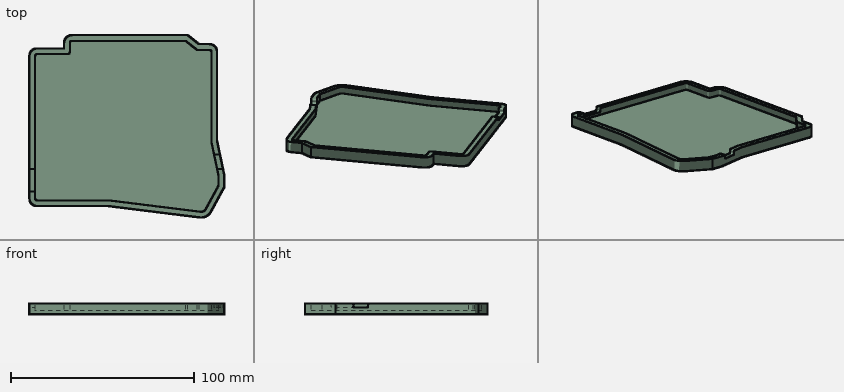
import cadquery as cq
import math

length = 106.4
width = 99.6
height = 6.0
floor_thickness = 2.1
wall = 3.2
corner_radius = 4.4
toe_radius = 6.1

right_edge = 102.5
lower_edge = 6.3
step_x = 18.9
step_y = 92.4
shoulder_y = 94.8

lower_left = (0, lower_edge)
lower_bend = (43.2, lower_edge)
toe = (97.1, -0.4)
nose_bottom = (length, 16.6)
nose_top = (length, 23.6)
right_bend = (right_edge, 41.7)
upper_right = (right_edge, shoulder_y)
shoulder = (92.5, shoulder_y)
top_end = (86.4, width)
top_left = (step_x, width)
step_inside = (step_x, step_y)
upper_left = (0, step_y)
outline = [
    lower_left, lower_bend, toe, nose_bottom, nose_top, right_bend,
    upper_right, shoulder, top_end, top_left, step_inside, upper_left,
]
rounded = [lower_left, upper_right, top_left, upper_left]

notch_floor = 3.7
notch_end = 26.5
notch_round = 0.6
left_notch = (14.4, notch_end)
right_notch = (notch_end, 34.5)
left_notch_x = (-wall, 2 * wall)
right_notch_x = (right_edge - wall, length + wall)


def inset(points, distance):
    """Move every edge of a counter-clockwise polygon inwards and return the new vertices."""
    moved = []
    for i, (x, y) in enumerate(points):
        before = points[i - 1]
        after = points[(i + 1) % len(points)]
        a = math.atan2(y - before[1], x - before[0])
        b = math.atan2(after[1] - y, after[0] - x)
        middle = (a + b) / 2
        if abs(a - b) > math.pi:
            middle += math.pi
        reach = distance / abs(math.cos((a - b) / 2))
        moved.append((x - reach * math.sin(middle), y + reach * math.cos(middle)))
    return moved


def round_corners(body, points, radius):
    """Round the upright edges of the body at the given points."""
    for x, y in points:
        edge = body.edges("|Z").edges(cq.selectors.NearestToPointSelector((x, y, height / 2)))
        body = edge.fillet(radius)
    return body


def make_notch(y_range, x_range):
    """Cutter along X with rounded bottom corners and a mouth rounded outwards at the top."""
    y0, y1 = y_range
    r = notch_round
    profile = (
        cq.Workplane("YZ", origin=(x_range[0], 0, 0))
        .moveTo(y0 + r, notch_floor)
        .lineTo(y1 - r, notch_floor)
        .radiusArc((y1, notch_floor + r), -r)
        .lineTo(y1, height - r)
        .radiusArc((y1 + r, height), r)
        .lineTo(y0 - r, height)
        .radiusArc((y0, height - r), r)
        .lineTo(y0, notch_floor + r)
        .radiusArc((y0 + r, notch_floor), -r)
        .close()
    )
    return profile.extrude(x_range[1] - x_range[0])


blank = cq.Workplane().polyline(outline).close().extrude(height)
blank = round_corners(blank, rounded, corner_radius)
blank = round_corners(blank, [toe], toe_radius)

inner = inset(outline, wall)
inner_rounded = [inner[outline.index(point)] for point in rounded + [step_inside]]
inner_toe = inner[outline.index(toe)]
cavity = cq.Workplane(origin=(0, 0, floor_thickness)).polyline(inner).close().extrude(height)
cavity = round_corners(cavity, inner_rounded, corner_radius - wall)
cavity = round_corners(cavity, [inner_toe], toe_radius - wall)

result = blank.cut(cavity)
result = result.cut(make_notch(left_notch, left_notch_x))
result = result.cut(make_notch(right_notch, right_notch_x))